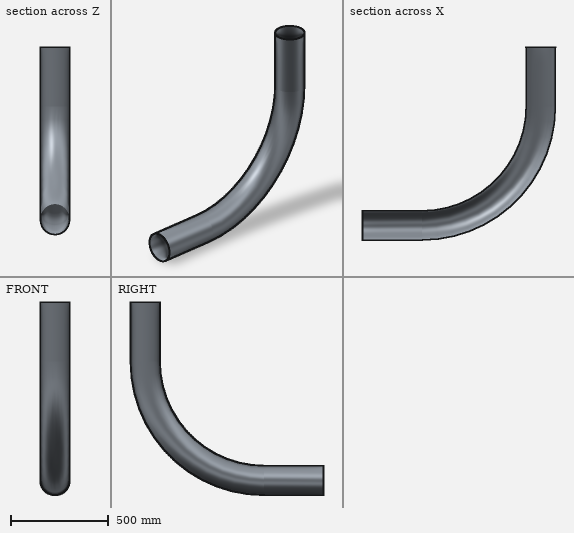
import cadquery as cq

OUTER_DIAMETER = 152.4
INNER_DIAMETER = 148.18
BEND_RADIUS = 609.6
BEND_ANGLE = 90.0
TANGENT_LENGTH = 304.8


def tube_section(plane):
    """Ring-shaped tube cross-section centred on the given plane."""
    return (
        cq.Workplane(plane)
        .circle(OUTER_DIAMETER / 2)
        .circle(INNER_DIAMETER / 2)
    )


def straight_leg(plane):
    """Straight tube running along the normal of the given plane."""
    return tube_section(plane).extrude(TANGENT_LENGTH)


def bend(plane):
    """Quarter-turn bend from the upright leg round to the level leg."""
    pivot_start = (0, BEND_RADIUS)
    pivot_end = (1, BEND_RADIUS)
    return tube_section(plane).revolve(BEND_ANGLE, pivot_start, pivot_end)


upright_start = cq.Plane(origin=(0, 0, 0), xDir=(1, 0, 0), normal=(0, 0, 1))
level_start = cq.Plane(
    origin=(0, BEND_RADIUS, -BEND_RADIUS), xDir=(1, 0, 0), normal=(0, 1, 0)
)

upright_leg = straight_leg(upright_start)
level_leg = straight_leg(level_start)
result = upright_leg.union(bend(upright_start)).union(level_leg)